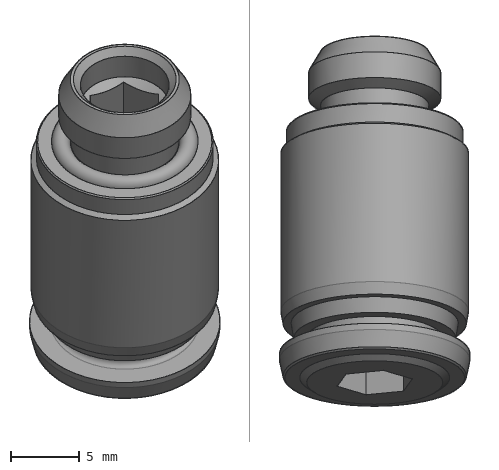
import cadquery as cq
import math

height = 25.5

base_radius = 5.0
base_step_height = 0.38
base_step_radius = 5.5
ring_radius = 14.0 / 2
ring_lower_radius = 6.73
ring_edge_chamfer = 0.13
ring_band_bottom = 1.75
ring_top = 2.25

waist_radius = 5.0
waist_fillet = 0.48
waist_top = 3.45

insert_lower_radius = 5.95
insert_upper_radius = 6.15
body_bottom = 4.6
body_lower_radius = 6.73
body_taper_top = 5.5
body_radius = 13.8 / 2
body_top = 18.0
shoulder_height = 0.23

collar_radius = 6.5
collar_top = 19.53
collar_chamfer = 0.1

neck_radius = 3.98
nose_radius = 9.72 / 2
nose_cone_bottom = 24.0
nose_band_bottom = 22.0
nose_top_radius = 4.0
nose_underside_angle = 30.0
seal_outer_radius = 5.4
seal_top = 20.07

rim_radius = 3.77
bore_radius = 6.5 / 2
bore_bottom = 23.0
drill_point_angle = 120.0
hex_across_flats = 5.0


def make_outer_body():
    underside_drop = (nose_radius - neck_radius) * math.tan(math.radians(nose_underside_angle))
    fillet_middle = waist_fillet * (1 - math.sqrt(0.5))
    profile = (
        cq.Workplane("XZ")
        .lineTo(base_radius, 0)
        .lineTo(base_step_radius, base_step_height)
        .lineTo(ring_lower_radius - ring_edge_chamfer, base_step_height)
        .lineTo(ring_lower_radius, base_step_height + ring_edge_chamfer)
        .lineTo(ring_radius, ring_band_bottom)
        .lineTo(ring_radius, ring_top)
        .lineTo(waist_radius + waist_fillet, ring_top)
        .threePointArc(
            (waist_radius + fillet_middle, ring_top + fillet_middle),
            (waist_radius, ring_top + waist_fillet),
        )
        .lineTo(waist_radius, waist_top)
        .lineTo(insert_lower_radius, waist_top)
        .lineTo(insert_upper_radius, body_bottom)
        .lineTo(body_lower_radius, body_bottom)
        .lineTo(body_radius, body_taper_top)
        .lineTo(body_radius, body_top - shoulder_height)
        .lineTo(collar_radius, body_top)
        .lineTo(collar_radius, collar_top - collar_chamfer)
        .lineTo(collar_radius - collar_chamfer, collar_top)
        .lineTo(neck_radius, collar_top)
        .lineTo(neck_radius, nose_band_bottom - underside_drop)
        .lineTo(nose_radius, nose_band_bottom)
        .lineTo(nose_radius, nose_cone_bottom)
        .lineTo(nose_top_radius, height)
        .lineTo(0, height)
        .close()
    )
    return profile.revolve(360, (0, 0), (0, 1))


def make_seal():
    section_radius = (seal_outer_radius - neck_radius) / 2
    ring_center_radius = neck_radius + section_radius
    section = cq.Workplane("XZ").center(ring_center_radius, seal_top - section_radius)
    return section.circle(section_radius).revolve(360, (-ring_center_radius, 0), (-ring_center_radius, 1))


def make_bore():
    rim_chamfer = rim_radius - bore_radius
    point_depth = bore_radius / math.tan(math.radians(drill_point_angle / 2))
    profile = (
        cq.Workplane("XZ")
        .moveTo(0, bore_bottom - point_depth)
        .lineTo(bore_radius, bore_bottom)
        .lineTo(bore_radius, height - rim_chamfer)
        .lineTo(rim_radius, height)
        .lineTo(0, height)
        .close()
    )
    return profile.revolve(360, (0, 0), (0, 1))


def make_hex_passage():
    across_corners = hex_across_flats / math.cos(math.radians(30))
    hexagon = cq.Workplane("XY").transformed(rotate=(0, 0, 90)).polygon(6, across_corners)
    return hexagon.extrude(bore_bottom)


result = make_outer_body().union(make_seal()).cut(make_bore()).cut(make_hex_passage())